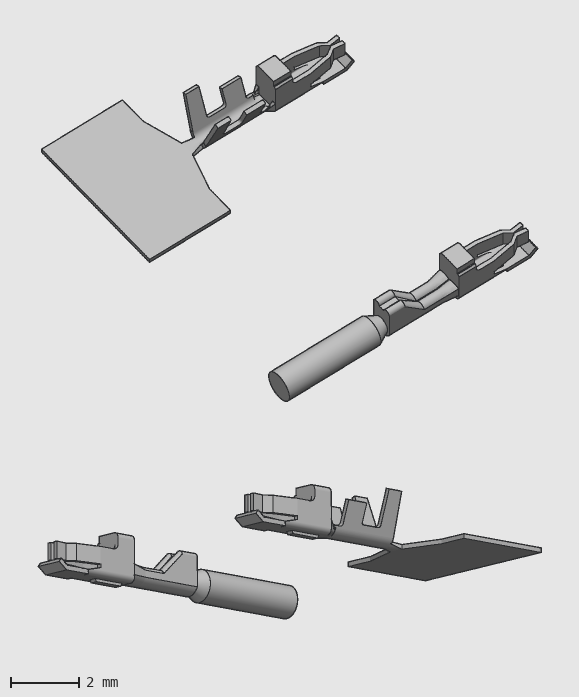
import cadquery as cq
import math


sheet = 0.14
wire_shoulder_y = 3.39
barrel_start_y = 3.8
insulation_end_y = 4.38
conductor_start_y = 5.09
conductor_end_y = 5.8
barrel_end_y = 6.03
box_rear_y = 6.31
tab_front_y = 6.95
box_front_y = 7.62
tongue_tip_y = 9.23
terminal_pitch = 8.81

box_width = 0.94
box_half = box_width / 2
box_bend = 0.18
wall_top = 0.89
tab_top = 1.43
tab_side_gap = 0.1
right_wall_top = 1.21
right_wall_chamfer = 0.06
step_fillet = 0.17
socket_floor_half = box_half - sheet

arm_bottom = 0.37
arm_tip_y = 9.09
arm_bend_y = 8.45
arm_pinch_y = 8.7
arm_bend_x = 0.33
arm_pinch_x = 0.15
arm_tip_x = 0.2

tongue_bend_y = 8.95
tongue_tip_z = 0.21
gusset_end_y = 8.09
gusset_height = 0.26

bump_start_y = 6.49
bump_end_y = 7.53
bump_taper = 0.05
bump_depth = 0.089
bump_width = 0.24

barrel_radius = 0.38
barrel_angle = 20.0
insulation_wing = 1.4
insulation_slant = 0.1
conductor_wing = 0.88
web_leg = 0.23
lead_leg = 0.07
wing_corner = 0.1
transition_leg = 0.29

strip_half = 2.6
strip_depth = 3.0
strip_shoulder_half = 1.6
neck_half = 0.26
neck_turn = 42.0

crimp_half = 0.38
crimp_bottom_z = 0.24
conductor_crimp_top = 0.57
conductor_valley_half = 0.01
insulation_crimp_top = 1.26
insulation_valley_half = 0.101
valley_depth = 0.12
transition_crimp_half = 0.45
transition_crimp_top = 0.61
transition_valley_depth = 0.05
wire_radius = 0.5
wire_center_z = 0.38
wire_nose_radius = 0.3


def cross_section(y):
    """Workplane across the terminal at y, with local x along X and local y along Z."""
    return cq.Workplane("XZ", origin=(0, y, 0))


def extrude_along(outline, length):
    """Extrude a cross section toward +Y."""
    return outline.extrude(-length)


def loft_between(rear_outline, front_outline):
    """Solid that blends one cross section into another."""
    wires = [outline.val() for outline in (rear_outline, front_outline)]
    return cq.Workplane(cq.Solid.makeLoft(wires, True))


def side_profile(points, half_width):
    """Extrude a closed outline of (y, z) points evenly across X."""
    return cq.Workplane("YZ").polyline(points).close().extrude(half_width, both=True)



def socket_shell():
    """Box closed behind the tab; its walls taper down to the floor ahead of the box."""
    length = gusset_end_y - box_rear_y
    block = cross_section(box_rear_y).center(0, tab_top / 2).rect(2 * box_half, tab_top)
    shell = (
        extrude_along(block, length)
        .edges("|Y and <Z").fillet(box_bend)
        .edges("|Y and >Z and <X").fillet(box_bend)
    )
    slot = (
        cross_section(tab_front_y)
        .center(0, sheet + tab_top / 2)
        .rect(2 * socket_floor_half, tab_top)
    )
    channel = extrude_along(slot, length).edges("|Y and <Z").fillet(box_bend - sheet)
    wall_step = (
        cq.Workplane("XY")
        .box(4 * box_half, length, tab_top, centered=(True, False, False))
        .edges("|X and <Y and <Z").fillet(step_fillet)
        .translate((0, tab_front_y, wall_top))
    )
    front_taper = side_profile([
        (box_front_y, gusset_height),
        (gusset_end_y, sheet),
        (gusset_end_y, tab_top),
        (box_front_y, tab_top),
    ], box_half)
    return shell.cut(channel).cut(wall_step).cut(front_taper)


def right_wall_rebate():
    """Waste beside the free end of the tab, above the beveled right wall."""
    inner_x = box_half - tab_side_gap
    outline = (
        cross_section(box_rear_y)
        .polyline([
            (inner_x, tab_top),
            (inner_x, right_wall_top),
            (box_half - right_wall_chamfer, right_wall_top),
            (box_half, right_wall_top - right_wall_chamfer),
            (box_half, tab_top),
        ])
        .close()
    )
    return extrude_along(outline, tab_front_y - box_rear_y)


def contact_arm():
    """Left spring arm, pinched toward the center and flared at its tip."""
    outer = [
        (-box_half, box_front_y),
        (-arm_bend_x, arm_bend_y),
        (-arm_pinch_x, arm_pinch_y),
        (-arm_tip_x, arm_tip_y),
    ]
    inner = [(x + sheet, y) for x, y in reversed(outer)]
    return (
        cq.Workplane("XY", origin=(0, 0, arm_bottom))
        .polyline(outer + inner).close()
        .extrude(wall_top - arm_bottom)
    )


def tongue():
    """Floor running forward under the arms, with its lip bent upward."""
    rise = tongue_tip_z
    run = tongue_tip_y - tongue_bend_y
    slope_length = math.hypot(run, rise)
    normal_y = -rise / slope_length * sheet
    normal_z = run / slope_length * sheet
    inner_bend_y = tongue_bend_y - sheet * math.tan(math.atan2(rise, run) / 2)
    return side_profile([
        (gusset_end_y, 0),
        (tongue_bend_y, 0),
        (tongue_tip_y, tongue_tip_z),
        (tongue_tip_y + normal_y, tongue_tip_z + normal_z),
        (inner_bend_y, sheet),
        (gusset_end_y, sheet),
    ], box_half)


def stop_bump():
    return side_profile([
        (bump_start_y, 0),
        (bump_start_y + bump_taper, -bump_depth),
        (bump_end_y - bump_taper, -bump_depth),
        (bump_end_y, 0),
    ], bump_width / 2)


def socket():
    arm = contact_arm()
    return (
        socket_shell()
        .cut(right_wall_rebate())
        .union(arm)
        .union(arm.mirror("YZ"))
        .union(tongue())
        .union(stop_bump())
    )



def u_section(y, flat_half, radius, angle, leg):
    """U outline of the sheet: flat floor, two bends and two legs leaning out by angle."""
    lean = math.radians(angle)
    end_turn = math.pi / 2 - lean

    def bend_and_leg(bend_radius):
        """Points at the start, middle and end of a bend, then at the end of its leg."""
        points = [
            (flat_half + bend_radius * math.sin(turn), radius - bend_radius * math.cos(turn))
            for turn in (0, end_turn / 2, end_turn)
        ]
        bend_x, bend_z = points[-1]
        return points + [(bend_x + leg * math.sin(lean), bend_z + leg * math.cos(lean))]

    def flip(points):
        return [(-x, z) for x, z in points]

    outer = bend_and_leg(radius)
    inner = bend_and_leg(radius - sheet)
    left_outer = flip(outer)
    left_inner = flip(inner)
    right_side = (
        cross_section(y)
        .moveTo(*outer[0])
        .threePointArc(outer[1], outer[2])
        .lineTo(*outer[3])
        .lineTo(*inner[3])
        .lineTo(*inner[2])
        .threePointArc(inner[1], inner[0])
    )
    across_floor = right_side.lineTo(*left_inner[0]) if flat_half > 0 else right_side
    return (
        across_floor
        .threePointArc(left_inner[1], left_inner[2])
        .lineTo(*left_inner[3])
        .lineTo(*left_outer[3])
        .lineTo(*left_outer[2])
        .threePointArc(left_outer[1], left_outer[0])
        .close()
    )


def barrel_section(y):
    return u_section(y, 0, barrel_radius, barrel_angle, lead_leg)


def right_wings():
    """Right-hand wings and the low web between them, cut from one leaning sheet."""
    lean = math.radians(barrel_angle)
    inner_radius = barrel_radius - sheet
    root = (
        inner_radius * math.cos(lean),
        0,
        barrel_radius - inner_radius * math.sin(lean),
    )
    outward = (math.cos(lean), 0, -math.sin(lean))
    sheet_blank = (
        cq.Workplane(cq.Plane(origin=root, xDir=(0, 1, 0), normal=outward))
        .polyline([
            (barrel_start_y, 0),
            (barrel_start_y + insulation_slant, insulation_wing),
            (insulation_end_y, insulation_wing),
            (insulation_end_y, web_leg),
            (conductor_start_y, web_leg),
            (conductor_start_y, conductor_wing),
            (conductor_end_y, conductor_wing),
            (conductor_end_y, lead_leg),
            (barrel_end_y, lead_leg),
            (barrel_end_y, 0),
        ])
        .close()
        .extrude(sheet)
    )
    low_corners = cq.selectors.BoxSelector(
        (0, insulation_end_y - wing_corner, root[2]),
        (2 * barrel_radius, conductor_end_y + wing_corner, root[2] + 2 * web_leg),
    )
    through_sheet = cq.selectors.ParallelDirSelector(cq.Vector(*outward))
    return sheet_blank.edges(low_corners).edges(through_sheet).fillet(wing_corner)


def open_barrel():
    channel = extrude_along(barrel_section(barrel_start_y), barrel_end_y - barrel_start_y)
    transition = loft_between(
        barrel_section(barrel_end_y),
        u_section(box_rear_y, box_half - box_bend, box_bend, 0, transition_leg),
    )
    wings = right_wings()
    return channel.union(transition).union(wings).union(wings.mirror("YZ"))



def carrier_strip():
    """Flat carrier with a tapered shoulder and the neck that holds the terminal."""
    plate = (
        cq.Workplane("XY")
        .polyline([
            (-strip_half, 0),
            (strip_half, 0),
            (strip_half, strip_depth),
            (strip_shoulder_half, strip_depth),
            (neck_half, wire_shoulder_y),
            (-neck_half, wire_shoulder_y),
            (-strip_shoulder_half, strip_depth),
            (-strip_half, strip_depth),
        ])
        .close()
        .extrude(sheet)
    )
    turn = math.radians(neck_turn)
    outer_x, outer_z, inner_x, inner_z = [
        value
        for radius in (barrel_radius, barrel_radius - sheet)
        for value in (radius * math.sin(turn), barrel_radius - radius * math.cos(turn))
    ]
    curved_end = (
        cross_section(barrel_start_y)
        .moveTo(-outer_x, outer_z)
        .threePointArc((0, 0), (outer_x, outer_z))
        .lineTo(inner_x, inner_z)
        .threePointArc((0, sheet), (-inner_x, inner_z))
        .close()
    )
    flat_end = (
        cross_section(wire_shoulder_y)
        .polyline([(-neck_half, 0), (neck_half, 0), (neck_half, sheet), (-neck_half, sheet)])
        .close()
    )
    neck = loft_between(flat_end, curved_end)
    return plate.union(neck)



def crimp_section(y, half_width, top, valley_half, valley_drop):
    """Closed crimp outline: rounded underside and two lobes curled into a middle valley."""
    shoulder_z = top - valley_drop
    lobe_middle = (half_width + valley_half) / 2
    return (
        cross_section(y)
        .moveTo(-half_width, crimp_bottom_z)
        .threePointArc((0, 0), (half_width, crimp_bottom_z))
        .lineTo(half_width, shoulder_z)
        .threePointArc((lobe_middle, top), (valley_half, shoulder_z))
        .lineTo(-valley_half, shoulder_z)
        .threePointArc((-lobe_middle, top), (-half_width, shoulder_z))
        .close()
    )


def conductor_section(y):
    return crimp_section(y, crimp_half, conductor_crimp_top, conductor_valley_half, valley_depth)


def insulation_section(y):
    return crimp_section(y, crimp_half, insulation_crimp_top, insulation_valley_half, valley_depth)


def crimped_barrel():
    insulation = extrude_along(
        insulation_section(barrel_start_y), insulation_end_y - barrel_start_y
    )
    ramp = loft_between(insulation_section(insulation_end_y), conductor_section(conductor_start_y))
    conductor = extrude_along(
        conductor_section(conductor_start_y), conductor_end_y - conductor_start_y
    )
    transition = loft_between(
        conductor_section(conductor_end_y),
        crimp_section(
            box_rear_y,
            transition_crimp_half,
            transition_crimp_top,
            conductor_valley_half,
            transition_valley_depth,
        ),
    )
    return insulation.union(ramp).union(conductor).union(transition)


def wire():
    """Insulated wire whose nose tapers into the crimp."""
    return (
        cq.Workplane("XY")
        .polyline([
            (0, 0),
            (wire_radius, 0),
            (wire_radius, wire_shoulder_y),
            (wire_nose_radius, barrel_start_y),
            (0, barrel_start_y),
        ])
        .close()
        .revolve(360, (0, 0, 0), (0, 1, 0))
        .translate((0, 0, wire_center_z))
    )



def strip_terminal():
    return socket().union(open_barrel()).union(carrier_strip())


def wired_terminal():
    return socket().union(crimped_barrel()).union(wire()).translate((terminal_pitch, 0, 0))


result = cq.Compound.makeCompound([strip_terminal().val(), wired_terminal().val()])